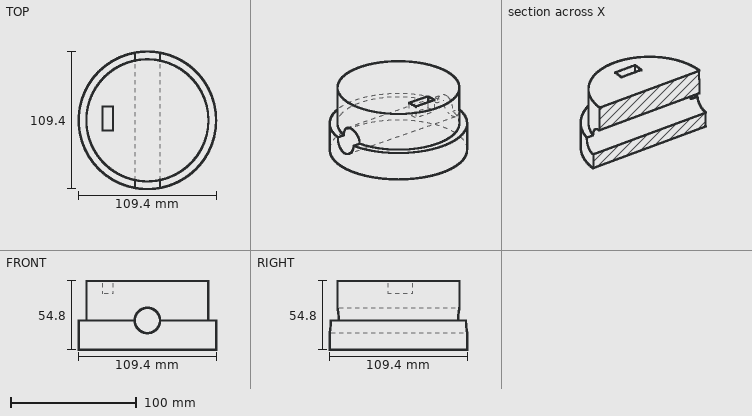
import cadquery as cq

flange_diameter = 109.37
drum_diameter = 97.0
total_height = 54.78
flange_height = 23.3

bore_diameter = 20.0

pocket_width = 8.6
pocket_length = 19.2
pocket_depth = 10.0
pocket_center_x = -31.5
pocket_center_y = 1.5


def make_body():
    """Wide round flange with a narrower drum on top, axis on Z."""
    flange = cq.Workplane("XY").circle(flange_diameter / 2).extrude(flange_height)
    drum = cq.Workplane("XY").circle(drum_diameter / 2).extrude(total_height)
    return flange.union(drum)


def make_cross_bore():
    """Cylinder along Y that passes through the whole body."""
    return (
        cq.Workplane("XZ", origin=(0, 0, flange_height))
        .circle(bore_diameter / 2)
        .extrude(flange_diameter / 2, both=True)
    )


def make_pocket():
    """Rectangular block sunk into the top face."""
    return (
        cq.Workplane("XY", origin=(pocket_center_x, pocket_center_y, total_height))
        .rect(pocket_width, pocket_length)
        .extrude(-pocket_depth)
    )


result = make_body().cut(make_cross_bore()).cut(make_pocket())